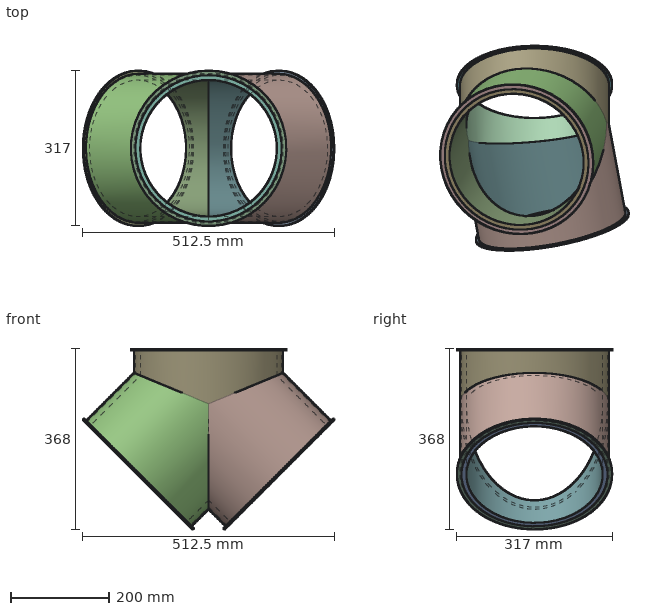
import cadquery as cq
import math

OVERALL_WIDTH = 512.5
OVERALL_HEIGHT = 368.0
FLANGE_DIAMETER = 317.0
SHELL_DIAMETER = 304.0
LINER_DIAMETER = 298.0
BORE_DIAMETER = 278.0
FLANGE_THICKNESS = 3.0
LEG_TILT = 45.0

TILT = math.radians(LEG_TILT)
HALF_WIDTH = OVERALL_WIDTH / 2
FLANGE_RADIUS = FLANGE_DIAMETER / 2
LEG_LENGTH = (HALF_WIDTH - FLANGE_RADIUS * math.cos(TILT)) / math.sin(TILT)
LEG_DEPTH = LEG_LENGTH * math.cos(TILT) + FLANGE_RADIUS * math.sin(TILT)
NECK_LENGTH = OVERALL_HEIGHT - LEG_DEPTH

BRANCHES = [
    (cq.Vector(0, 0, 1), NECK_LENGTH),
    (cq.Vector(-math.sin(TILT), 0, -math.cos(TILT)), LEG_LENGTH),
    (cq.Vector(math.sin(TILT), 0, -math.cos(TILT)), LEG_LENGTH),
]


def branch_cylinder(diameter, direction, start, end):
    """Solid cylinder along a branch axis between two distances from the origin."""
    plane = cq.Plane(origin=direction * start, xDir=(0, 1, 0), normal=direction)
    return cq.Workplane(plane).circle(diameter / 2).extrude(end - start)


def solid_wye(diameter):
    """Three equal cylinders that meet in mitred joints at the origin."""
    wye = cq.Workplane()
    for direction, length in BRANCHES:
        wye = wye.union(branch_cylinder(diameter, direction, 0, length))
    return wye


def make_shell():
    """Thin outer wye pipe with a flat flange around each open end."""
    shell = solid_wye(SHELL_DIAMETER)
    for direction, length in BRANCHES:
        flange = branch_cylinder(FLANGE_DIAMETER, direction, length - FLANGE_THICKNESS, length)
        shell = shell.union(flange)
    return shell.cut(solid_wye(LINER_DIAMETER))


def make_liner():
    """Lining that fills the shell out to the flange faces and leaves the bore open."""
    return solid_wye(LINER_DIAMETER).cut(solid_wye(BORE_DIAMETER))


shell = make_shell()
liner = make_liner()

result = cq.Compound.makeCompound([shell.solids().val(), liner.solids().val()])